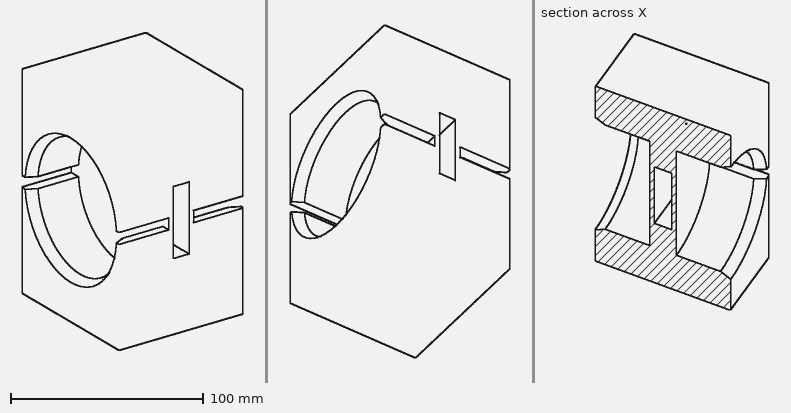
import cadquery as cq

width = 88.0
depth = 79.5
height = 129.1
edge_radius = 1.0

web_thickness = 16.0
bore_diameter = 76.4
mouth_diameter = 82.6
mouth_depth = 6.0
bore_offset_x = 0.6

split_height = 6.8

window_width = 10.0
window_height = 41.2

pocket_depth = (depth - web_thickness) / 2


def make_block():
    return cq.Workplane("XY").box(width, depth, height).edges().fillet(edge_radius)


def make_pocket(side):
    """Straight bore with a flared mouth, opening on the -Y (side=-1) or +Y (side=1) face."""
    floor_y = side * web_thickness / 2
    bore_end_y = side * (depth / 2 - mouth_depth)
    mouth_y = side * depth / 2
    profile = [
        (0, floor_y),
        (bore_diameter / 2, floor_y),
        (bore_diameter / 2, bore_end_y),
        (mouth_diameter / 2, mouth_y),
        (0, mouth_y),
    ]
    pocket = cq.Workplane("XY").polyline(profile).close().revolve(360, (0, 0), (0, 1))
    return pocket.translate((bore_offset_x, 0, 0))


def make_split(side):
    """Full-width slit at mid height between the web and one Y face."""
    centre_y = side * (web_thickness + pocket_depth) / 2
    return cq.Workplane("XY").box(width, pocket_depth, split_height).translate((0, centre_y, 0))


def make_window():
    return cq.Workplane("XY").box(width, window_width, window_height)


result = make_block()
for side in (-1, 1):
    result = result.cut(make_pocket(side)).cut(make_split(side))
result = result.cut(make_window())